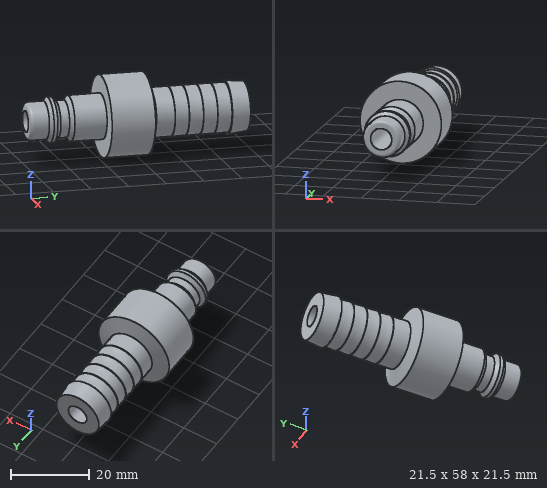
import cadquery as cq
import math

length = 58.0
bore_radius = 2.8

tip_radius = 5.0
tip_round = 1.0
plug_radius = 6.0
groove_radius = 4.9
tip_length = 5.0
latch_land_start = 6.0
latch_land_end = 6.95
groove_width = 2.3
groove_chamfer = plug_radius - groove_radius
groove_start = latch_land_end + groove_chamfer
groove_end = groove_start + groove_width

collar_radius = 21.5 / 2
collar_start = 20.0
collar_end = 31.55
collar_cone_length = 1.45

tail_radius = 6.5
end_barb_radius = 7.0
end_barb_length = 5.0
small_barb_radius = 6.65
small_barb_count = 4
small_barb_pitch = 3.75
small_barb_length = small_barb_pitch / 2
end_barb_start = length - end_barb_length
first_barb_start = end_barb_start - small_barb_count * small_barb_pitch


def add_plug(profile):
    """Rounded tip, latching ridge, groove and shank, up to the collar."""
    arc_inset = tip_round * (1 - math.sqrt(0.5))
    return (
        profile.lineTo(tip_radius - tip_round, 0)
        .threePointArc((tip_radius - arc_inset, arc_inset), (tip_radius, tip_round))
        .lineTo(tip_radius, tip_length)
        .lineTo(plug_radius, latch_land_start)
        .lineTo(plug_radius, latch_land_end)
        .lineTo(groove_radius, groove_start)
        .lineTo(groove_radius, groove_end)
        .lineTo(plug_radius, groove_end + groove_chamfer)
        .lineTo(plug_radius, collar_start)
    )


def add_collar(profile):
    """Cylindrical collar with a conical shoulder down to the hose tail."""
    return (
        profile.lineTo(collar_radius, collar_start)
        .lineTo(collar_radius, collar_end)
        .lineTo(tail_radius, collar_end + collar_cone_length)
    )


def add_barb(profile, start, crest_radius, barb_length):
    """Step out to the crest, then taper back to the tail radius."""
    return (
        profile.lineTo(tail_radius, start)
        .lineTo(crest_radius, start)
        .lineTo(tail_radius, start + barb_length)
    )


profile = cq.Workplane("XY").moveTo(bore_radius, 0)
profile = add_plug(profile)
profile = add_collar(profile)
for index in range(small_barb_count):
    barb_start = first_barb_start + index * small_barb_pitch
    profile = add_barb(profile, barb_start, small_barb_radius, small_barb_length)
profile = add_barb(profile, end_barb_start, end_barb_radius, end_barb_length)
profile = profile.lineTo(bore_radius, length).close()

result = profile.revolve(360, (0, 0, 0), (0, 1, 0))